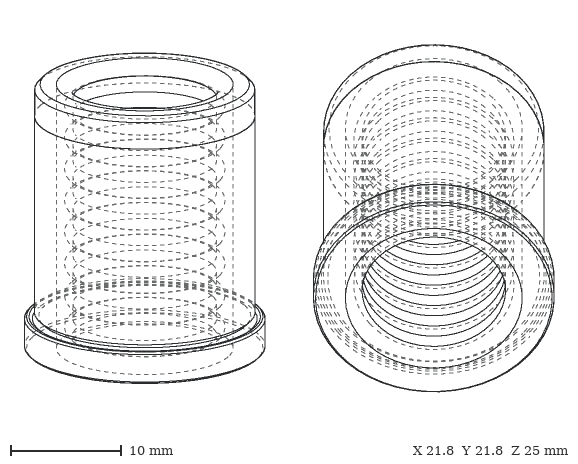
import cadquery as cq

height = 25.0
bore_radius = 6.5
liner_radius = 8.0

body_radius = 10.0
lead_radius = 9.98
lead_length = 3.0
lead_chamfer = 0.5
flange_radius = 10.9
flange_height = 3.0
flange_chamfer = 0.2

undercut_outer_radius = 10.48
undercut_wall_radius = 10.18
undercut_floor_radius = 10.08
undercut_root_radius = 9.6
undercut_root_height = 3.05
undercut_depth = 0.2
undercut_taper = body_radius - undercut_root_radius

mouth_radius = 1.0
groove_radius = 0.75
groove_pitch = 3.0
groove_count = 8


def make_sleeve():
    """Flanged outer sleeve, revolved about Z."""
    undercut_floor = flange_height - undercut_depth
    profile = (
        cq.Workplane("XZ")
        .moveTo(liner_radius, 0)
        .lineTo(flange_radius - flange_chamfer, 0)
        .lineTo(flange_radius, flange_chamfer)
        .lineTo(flange_radius, flange_height - flange_chamfer)
        .lineTo(flange_radius - flange_chamfer, flange_height)
        .lineTo(undercut_outer_radius, flange_height)
        .lineTo(undercut_wall_radius, undercut_floor)
        .lineTo(undercut_floor_radius, undercut_floor)
        .tangentArcPoint((undercut_root_radius, undercut_root_height), relative=False)
        .lineTo(body_radius, undercut_root_height + undercut_taper)
        .lineTo(body_radius, height - lead_length)
        .lineTo(lead_radius, height - lead_length)
        .lineTo(lead_radius, height - lead_chamfer)
        .lineTo(lead_radius - lead_chamfer, height)
        .lineTo(liner_radius, height)
        .close()
    )
    return profile.revolve(360, (0, 0, 0), (0, 1, 0))


def make_liner():
    """Inner liner with rounded mouths and evenly spaced ring grooves."""
    liner = (
        cq.Workplane("XY")
        .circle(liner_radius)
        .circle(bore_radius)
        .extrude(height)
        .edges(cq.selectors.RadiusNthSelector(0))
        .fillet(mouth_radius)
    )
    first_groove = (height - (groove_count - 1) * groove_pitch) / 2
    for index in range(groove_count):
        groove_height = first_groove + index * groove_pitch
        groove = (
            cq.Workplane("XZ")
            .moveTo(bore_radius, groove_height - groove_radius)
            .threePointArc(
                (bore_radius + groove_radius, groove_height),
                (bore_radius, groove_height + groove_radius),
            )
            .lineTo(0, groove_height + groove_radius)
            .lineTo(0, groove_height - groove_radius)
            .close()
            .revolve(360, (0, 0, 0), (0, 1, 0))
        )
        liner = liner.cut(groove)
    return liner


sleeve = make_sleeve()
liner = make_liner()
result = cq.Compound.makeCompound([sleeve.val(), *liner.solids().vals()])